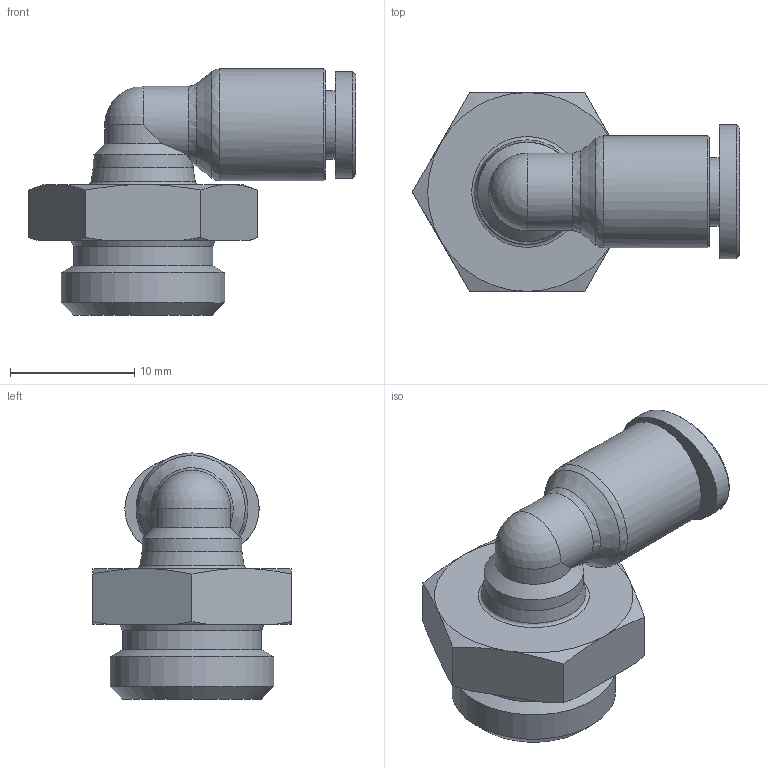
import cadquery as cq
import math


THREAD_RADIUS = 6.58
THREAD_CHAMFER = 1.0
THREAD_TOP_Z = 3.4
NECK_RADIUS = 5.6
RUNOUT_ANGLE = math.radians(30)
RUNOUT_TOP_Z = THREAD_TOP_Z + (THREAD_RADIUS - NECK_RADIUS) * math.tan(RUNOUT_ANGLE)
FLARE_START_Z = 5.5
FLARE_RADIUS = 5.8

HEX_ACROSS_FLATS = 16.0
HEX_BOTTOM_Z = 6.0
HEX_HEIGHT = 4.5
HEX_TOP_Z = HEX_BOTTOM_Z + HEX_HEIGHT
HEX_ACROSS_CORNERS = HEX_ACROSS_FLATS / math.cos(math.pi / 6)
HEX_CORNER_RADIUS = HEX_ACROSS_CORNERS / 2
HEX_CHAMFER_ANGLE = math.radians(20)
HEX_TOP_FACE_RADIUS = HEX_ACROSS_FLATS / 2
HEX_BOTTOM_FACE_RADIUS = 8.56

ELBOW_RADIUS = 3.1
OUTLET_Z = 15.3
COLLAR_RADIUS = 4.0
COLLAR_TOP_Z = 13.8
COLLAR_SHOULDER_Z = COLLAR_TOP_Z - (COLLAR_RADIUS - ELBOW_RADIUS)
COLLAR_CONE_TOP_Z = 11.85
COLLAR_CONE_TOP_RADIUS = 4.015
COLLAR_CONE_ANGLE = math.radians(8.8)
COLLAR_BASE_FILLET = 0.28

SLEEVE_RADIUS = 4.5
SLEEVE_CONE_START_X = 4.0
SLEEVE_CONE_END_X = 5.8
SLEEVE_CONE_FILLET = 1.0
SLEEVE_END_X = 14.65
SLEEVE_END_CHAMFER = 0.1

BUTTON_NECK_RADIUS = 2.75
BUTTON_START_X = 15.45
BUTTON_END_X = 17.1
BUTTON_HALF_WIDTH = 5.4
BUTTON_HALF_HEIGHT = 4.3
BUTTON_CHAMFER = 0.27


def revolve_about_z(profile):
    """Revolve a closed XZ profile a full turn about Z."""
    return profile.close().revolve(360, (0, 0, 0), (0, 1, 0))


def threaded_stub():
    """Plain thread body with an undercut neck that flares out under the hexagon."""
    profile = (
        cq.Workplane("XZ")
        .lineTo(THREAD_RADIUS - THREAD_CHAMFER, 0)
        .lineTo(THREAD_RADIUS, THREAD_CHAMFER)
        .lineTo(THREAD_RADIUS, THREAD_TOP_Z)
        .lineTo(NECK_RADIUS, RUNOUT_TOP_Z)
        .lineTo(NECK_RADIUS, FLARE_START_Z)
        .lineTo(FLARE_RADIUS, HEX_BOTTOM_Z)
        .lineTo(0, HEX_BOTTOM_Z)
    )
    return revolve_about_z(profile)


def hexagon():
    """Hexagonal prism with corners on the X axis, trimmed by a cone at each end."""
    prism = (
        cq.Workplane("XY", origin=(0, 0, HEX_BOTTOM_Z))
        .polygon(6, HEX_ACROSS_CORNERS)
        .extrude(HEX_HEIGHT)
    )
    slope = math.tan(HEX_CHAMFER_ANGLE)
    bottom_drop = (HEX_CORNER_RADIUS - HEX_BOTTOM_FACE_RADIUS) * slope
    top_drop = (HEX_CORNER_RADIUS - HEX_TOP_FACE_RADIUS) * slope
    envelope = (
        cq.Workplane("XZ")
        .moveTo(0, HEX_BOTTOM_Z)
        .lineTo(HEX_BOTTOM_FACE_RADIUS, HEX_BOTTOM_Z)
        .lineTo(HEX_CORNER_RADIUS, HEX_BOTTOM_Z + bottom_drop)
        .lineTo(HEX_CORNER_RADIUS, HEX_TOP_Z - top_drop)
        .lineTo(HEX_TOP_FACE_RADIUS, HEX_TOP_Z)
        .lineTo(0, HEX_TOP_Z)
    )
    return prism.intersect(revolve_about_z(envelope))


def collar():
    """Collar on the hexagon: filleted foot, cone, slightly drafted band and 45 degree shoulder."""
    cone_rise = COLLAR_CONE_TOP_Z - HEX_TOP_Z
    cone_foot_radius = COLLAR_CONE_TOP_RADIUS + cone_rise * math.tan(COLLAR_CONE_ANGLE)

    tangent_length = COLLAR_BASE_FILLET * math.tan((math.pi / 2 - COLLAR_CONE_ANGLE) / 2)
    fillet_top = (
        cone_foot_radius - tangent_length * math.sin(COLLAR_CONE_ANGLE),
        HEX_TOP_Z + tangent_length * math.cos(COLLAR_CONE_ANGLE),
    )
    profile = (
        cq.Workplane("XZ")
        .moveTo(0, HEX_TOP_Z)
        .lineTo(cone_foot_radius + tangent_length, HEX_TOP_Z)
        .radiusArc(fillet_top, COLLAR_BASE_FILLET)
        .lineTo(COLLAR_CONE_TOP_RADIUS, COLLAR_CONE_TOP_Z)
        .lineTo(COLLAR_RADIUS, COLLAR_SHOULDER_Z)
        .lineTo(ELBOW_RADIUS, COLLAR_TOP_Z)
        .lineTo(0, COLLAR_TOP_Z)
    )
    return revolve_about_z(profile)


def elbow():
    """Vertical tube capped by a ball centred where the two axes cross."""
    tube = cq.Workplane("XY", origin=(0, 0, HEX_TOP_Z)).circle(ELBOW_RADIUS).extrude(OUTLET_Z - HEX_TOP_Z)
    ball = cq.Workplane("XY", origin=(0, 0, OUTLET_Z)).sphere(ELBOW_RADIUS)
    return tube.union(ball)


def outlet():
    """Horizontal tube widening through a filleted cone into the sleeve."""
    body = (
        cq.Workplane("XZ", origin=(0, 0, OUTLET_Z))
        .lineTo(0, ELBOW_RADIUS)
        .lineTo(SLEEVE_CONE_START_X, ELBOW_RADIUS)
        .lineTo(SLEEVE_CONE_END_X, SLEEVE_RADIUS)
        .lineTo(SLEEVE_END_X, SLEEVE_RADIUS)
        .lineTo(SLEEVE_END_X, 0)
        .close()
        .revolve(360, (0, 0, 0), (1, 0, 0))
    )
    cone_edges = body.faces("%CONE").edges("%CIRCLE")
    return cone_edges.fillet(SLEEVE_CONE_FILLET).faces(">X").chamfer(SLEEVE_END_CHAMFER)


def release_button():
    """Oval button on a round neck at the open end of the sleeve."""
    neck = (
        cq.Workplane("YZ", origin=(SLEEVE_END_X, 0, OUTLET_Z))
        .circle(BUTTON_NECK_RADIUS)
        .extrude(BUTTON_START_X - SLEEVE_END_X)
    )
    oval = (
        cq.Workplane("YZ", origin=(BUTTON_START_X, 0, OUTLET_Z))
        .ellipse(BUTTON_HALF_WIDTH, BUTTON_HALF_HEIGHT)
        .extrude(BUTTON_END_X - BUTTON_START_X)
        .faces(">X")
        .chamfer(BUTTON_CHAMFER)
    )
    return neck.union(oval)


result = threaded_stub()
for section in (hexagon(), collar(), elbow(), outlet(), release_button()):
    result = result.union(section)